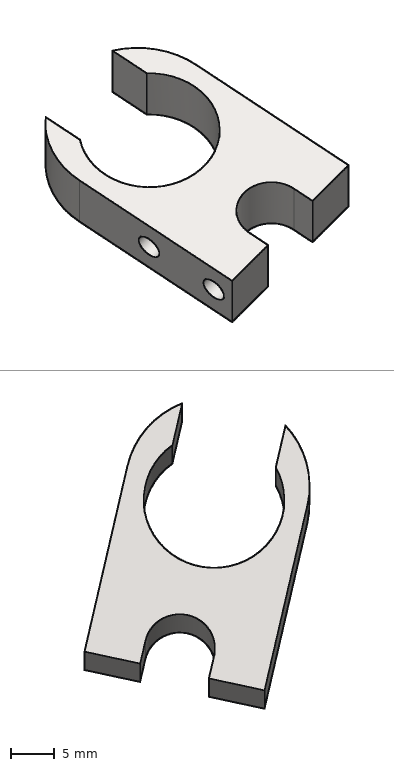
import cadquery as cq
import math

length = 31.0
width = 21.0
thickness = 8.0

mouth_width = 12.03
bore_radius = 8.0
bore_offset = 1.75

notch_radius = 4.0
notch_center_x = 28.25

hole_diameter = 3.0
hole_depth = 4.95
hole_positions_x = (18.82, 28.3)

nose_radius = width / 2
nose_center_x = math.sqrt(nose_radius**2 - (mouth_width / 2) ** 2)
bore_center_x = nose_center_x + bore_offset


def make_body():
    """Plate with a semicircular nose blending into straight sides."""
    nose = cq.Workplane("XY").center(nose_center_x, 0).circle(nose_radius).extrude(thickness)
    block = cq.Workplane("XY").box(
        length - nose_center_x, width, thickness, centered=(False, True, False)
    )
    return nose.union(block.translate((nose_center_x, 0, 0)))


def make_round_cut(center_x, radius, opening_width, opening_end_x):
    """Round pocket with a straight channel from its centre to opening_end_x."""
    pocket = cq.Workplane("XY").center(center_x, 0).circle(radius).extrude(thickness)
    channel = (
        cq.Workplane("XY")
        .center((center_x + opening_end_x) / 2, 0)
        .rect(abs(opening_end_x - center_x), opening_width)
        .extrude(thickness)
    )
    return pocket.union(channel)


def make_side_holes():
    """Blind holes entering the -Y side at mid thickness."""
    return (
        cq.Workplane("XZ", origin=(0, -width / 2, thickness / 2))
        .pushPoints([(x, 0) for x in hole_positions_x])
        .circle(hole_diameter / 2)
        .extrude(-hole_depth)
    )


bore_and_mouth = make_round_cut(bore_center_x, bore_radius, mouth_width, -nose_radius)
back_notch = make_round_cut(notch_center_x, notch_radius, 2 * notch_radius, length)

result = make_body().cut(bore_and_mouth).cut(back_notch).cut(make_side_holes())